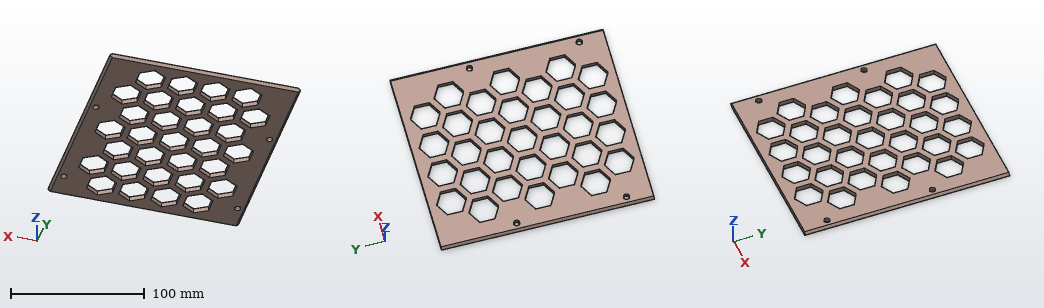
import cadquery as cq
import math

width = 148.5
length = 164.8
thickness = 4.0
bevel = 1.8

hexagon_corners = 23.0
long_row_count = 5
short_row_count = long_row_count - 1
long_row_span = 100.0
row_count = 7
column_pitch = long_row_span / (long_row_count - 1)
row_pitch = column_pitch * math.sin(math.radians(60))

screw_hole_diameter = 4.6
screw_side_margin = 6.6
screw_front_margin = 20.0
screw_spacing_y = 85.0


def make_plate():
    """Flat plate whose two long sides are bevelled almost to a point."""
    return cq.Workplane("XY").box(width, length, thickness).edges("|Y").chamfer(bevel)


def honeycomb_centres():
    """Centres of the openings: short and long rows alternate, starting with a short one."""
    centres = []
    for row in range(row_count):
        count = short_row_count if row % 2 == 0 else long_row_count
        y = (row - (row_count - 1) / 2) * row_pitch
        for column in range(count):
            x = (column - (count - 1) / 2) * column_pitch
            centres.append((x, y))
    return centres


def make_honeycomb():
    """Hexagonal prisms with a corner pointing along Y, as deep as the plate."""
    radius = hexagon_corners / 2
    angles = [math.radians(90 + 60 * corner) for corner in range(6)]
    outline = [(radius * math.cos(angle), radius * math.sin(angle)) for angle in angles]
    opening = cq.Workplane("XY").polyline(outline).close().extrude(thickness / 2, both=True).val()
    return (
        cq.Workplane("XY")
        .pushPoints(honeycomb_centres())
        .eachpoint(lambda place: opening.located(place), combine=True)
    )


def make_screw_holes():
    """Cylinders for the screw holes, as deep as the plate."""
    hole_x = width / 2 - screw_side_margin
    front_y = -length / 2 + screw_front_margin
    back_y = front_y + screw_spacing_y
    centres = [(x, y) for x in (-hole_x, hole_x) for y in (front_y, back_y)]
    return (
        cq.Workplane("XY")
        .pushPoints(centres)
        .circle(screw_hole_diameter / 2)
        .extrude(thickness / 2, both=True)
    )


result = make_plate().cut(make_honeycomb()).cut(make_screw_holes())